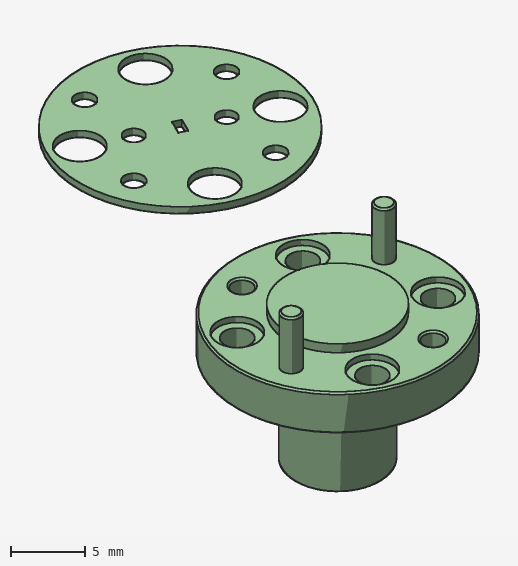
import cadquery as cq
import math

plate_diameter = 19.05
pattern_radius = 7.15
bolt_angles = [0, 90, 180, 270]
pin_angles = [135, 315]
open_dowel_angles = [45, 225]
bolt_head_diameter = 3.65

shim_thickness = 0.6
shim_dowel_diameter = 1.75
inner_hole_diameter = 1.65
inner_hole_offset = 3.3
window_length = 1.35
window_width = 0.7

flange_x = 48.05 - plate_diameter
flange_y = 1.2
flange_bottom = 0.65
flange_thickness = 3.35
flange_top = flange_bottom + flange_thickness
rim_chamfer = 0.15
boss_diameter = 9.55
boss_height = 0.7
barrel_diameter = 7.97
barrel_length = 8.65
barrel_chamfer = 0.1
bolt_hole_diameter = 2.35
counterbore_depth = 0.5
dowel_hole_diameter = 1.75
dowel_hole_chamfer = 0.15
mouth_taper = 45

pin_diameter = 1.65
pin_projection = 4.55
pin_chamfer = 0.15


def pattern_points(angles):
    """Points on the shared hole circle at the given angles in degrees."""
    return [
        (pattern_radius * math.cos(math.radians(angle)), pattern_radius * math.sin(math.radians(angle)))
        for angle in angles
    ]


def cylinder(diameter, bottom, height):
    """Upright cylinder centred on the Z axis."""
    return cq.Workplane("XY").workplane(offset=bottom).circle(diameter / 2).extrude(height)


def cylinders(points, diameter, bottom, height):
    """Upright cylinders centred on the given points."""
    return cq.Workplane("XY").workplane(offset=bottom).pushPoints(points).circle(diameter / 2).extrude(height)


def make_shim():
    """Thin disc with the hole pattern and a rectangular window."""
    inner_points = [(0, inner_hole_offset), (0, -inner_hole_offset)]
    dowel_points = pattern_points(pin_angles + open_dowel_angles)
    window = cq.Workplane("XY").rect(window_length, window_width).extrude(shim_thickness)
    return (
        cylinder(plate_diameter, 0, shim_thickness)
        .cut(cylinders(pattern_points(bolt_angles), bolt_head_diameter, 0, shim_thickness))
        .cut(cylinders(dowel_points, shim_dowel_diameter, 0, shim_thickness))
        .cut(cylinders(inner_points, inner_hole_diameter, 0, shim_thickness))
        .cut(window)
    )


def make_flange():
    """Flange with a raised boss, a barrel below, bolt holes and dowel holes."""
    plate = cylinder(plate_diameter, flange_bottom, flange_thickness).edges().chamfer(rim_chamfer)
    boss = cylinder(boss_diameter, flange_top, boss_height)
    barrel = cylinder(barrel_diameter, flange_bottom, -barrel_length).faces("<Z").edges().chamfer(barrel_chamfer)
    body = plate.union(boss).union(barrel)

    bolt_points = pattern_points(bolt_angles)
    body = body.cut(cylinders(bolt_points, bolt_hole_diameter, flange_bottom, flange_thickness))
    body = body.cut(cylinders(bolt_points, bolt_head_diameter, flange_top, -counterbore_depth))

    body = body.cut(cylinders(pattern_points(pin_angles), pin_diameter, flange_bottom, flange_thickness))

    open_points = pattern_points(open_dowel_angles)
    body = body.cut(cylinders(open_points, dowel_hole_diameter, flange_bottom, flange_thickness))
    mouths = (
        cq.Workplane("XY")
        .workplane(offset=flange_top - dowel_hole_chamfer)
        .pushPoints(open_points)
        .circle(dowel_hole_diameter / 2)
        .extrude(dowel_hole_chamfer, taper=-mouth_taper)
    )
    body = body.cut(mouths)
    return body.translate((flange_x, flange_y, 0))


def make_pin(x, y):
    """Dowel pin with a chamfered top."""
    pin = cylinder(pin_diameter, flange_bottom, flange_thickness + pin_projection)
    return pin.faces(">Z").edges().chamfer(pin_chamfer).translate((flange_x + x, flange_y + y, 0))


shim = make_shim()
flange = make_flange()
pins = [make_pin(x, y) for x, y in pattern_points(pin_angles)]

result = cq.Compound.makeCompound([shim.val(), flange.val(), *[pin.val() for pin in pins]])